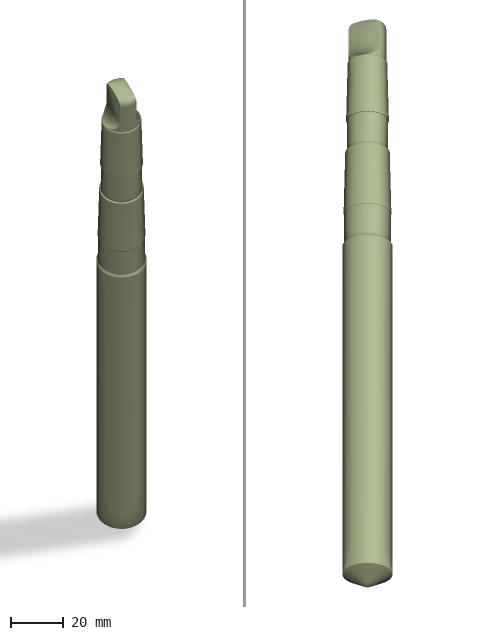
import cadquery as cq
import math

total_length = 238.0
body_diameter = 19.0
point_angle = 118.0
tip_length = body_diameter / 2 / math.tan(math.radians(point_angle / 2))
joint_z = 76.6

shoulder_z = 145.0
shoulder_chamfer = 1.0
neck_diameter = 17.5
neck_top_z = 158.0
neck_top_chamfer = 0.5

taper_base_diameter = 18.0
taper_top_diameter = 15.0
taper_top_z = 221.5
groove_diameter = 15.5
groove_bottom_z = 183.5
groove_top_z = 197.0

tang_diameter = 14.3
tang_shoulder_chamfer = 0.5
tang_end_radius = 2.1
tang_dome_radius = 28.5
tang_thickness = 6.7
tang_normal_angle = 50.0
flat_bottom_z = 226.8
runout_radius = 5.7


def taper_radius(z):
    """Radius of the shank taper at height z."""
    fraction = (z - neck_top_z) / (taper_top_z - neck_top_z)
    return (taper_base_diameter + fraction * (taper_top_diameter - taper_base_diameter)) / 2


def make_cutting_body():
    """Cylindrical lower body with a conical tip."""
    radius = body_diameter / 2
    outline = cq.Workplane("XZ").polyline([(0, 0), (radius, tip_length), (radius, joint_z), (0, joint_z)]).close()
    return outline.revolve(360, (0, 0), (0, 1))


def make_tang_cutter():
    """Prism along Y that removes the material outside the +X tang flat, with a round runout."""
    flat_x = tang_thickness / 2
    outer_x = flat_x + runout_radius
    bottom_z = flat_bottom_z - runout_radius
    mid_x = outer_x - runout_radius * math.cos(math.pi / 4)
    mid_z = flat_bottom_z - runout_radius * math.sin(math.pi / 4)
    return (
        cq.Workplane("XZ")
        .moveTo(flat_x, total_length)
        .lineTo(flat_x, flat_bottom_z)
        .threePointArc((mid_x, mid_z), (outer_x, bottom_z))
        .lineTo(outer_x, total_length)
        .close()
        .extrude(body_diameter / 2, both=True)
    )


def make_shank():
    """Upper body: plain cylinder, neck, grooved taper and flattened tang."""
    body_radius = body_diameter / 2
    neck_radius = neck_diameter / 2
    groove_radius = groove_diameter / 2
    tang_radius = tang_diameter / 2
    taper_chamfer_z = taper_top_z - tang_shoulder_chamfer
    dome_center_z = total_length - tang_dome_radius
    dome_edge_z = dome_center_z + math.sqrt(tang_dome_radius ** 2 - tang_radius ** 2)
    dome_mid_r = tang_radius / 2
    dome_mid_z = dome_center_z + math.sqrt(tang_dome_radius ** 2 - dome_mid_r ** 2)
    outline = cq.Workplane("XZ").moveTo(0, joint_z)
    outline = outline.polyline([
        (body_radius, joint_z),
        (body_radius, shoulder_z - shoulder_chamfer),
        (neck_radius, shoulder_z),
        (neck_radius, neck_top_z - neck_top_chamfer),
        (taper_radius(neck_top_z), neck_top_z),
        (taper_radius(groove_bottom_z), groove_bottom_z),
        (groove_radius, groove_bottom_z),
        (groove_radius, groove_top_z),
        (taper_radius(groove_top_z), groove_top_z),
        (taper_radius(taper_chamfer_z), taper_chamfer_z),
        (tang_radius, taper_top_z),
        (tang_radius, dome_edge_z),
    ], includeCurrent=True)
    outline = outline.threePointArc((dome_mid_r, dome_mid_z), (0, total_length)).close()
    shank = outline.revolve(360, (0, 0), (0, 1))
    shank = shank.faces(">Z").edges("<Z").fillet(tang_end_radius)
    for side_angle in (0, 180):
        cutter = make_tang_cutter().rotate((0, 0, 0), (0, 0, 1), tang_normal_angle + side_angle)
        shank = shank.cut(cutter)
    return shank


cutting_body = make_cutting_body()
shank = make_shank()
result = cq.Compound.makeCompound([cutting_body.val(), shank.val()])